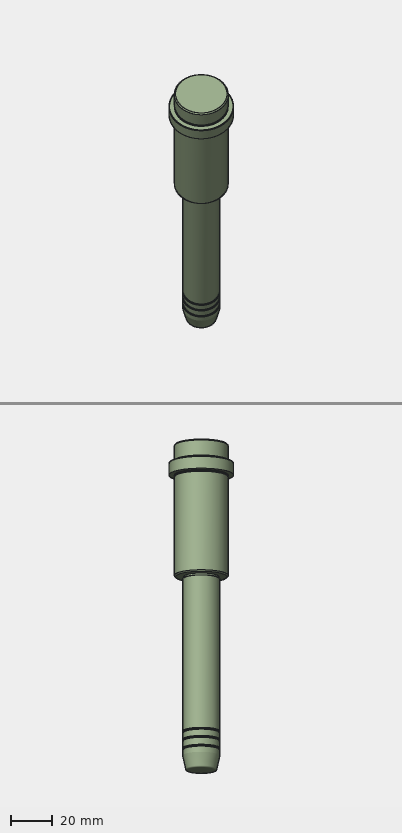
import cadquery as cq

total_length = 160.0
body_diameter = 26.0
body_bottom = 95.0
body_chamfer = 0.6
collar_diameter = 31.0
collar_bottom = 145.0
collar_top = 151.0
collar_chamfer = 0.3
relief_width = 1.0
relief_depth = 0.3
shank_diameter = 18.0
neck_diameter = 17.0
neck_length = 1.0
taper_height = 7.0
taper_end_diameter = 14.7
tip_fillet = 0.8
groove_centers = (10.4, 14.7, 18.7)
groove_width = 1.0
groove_depth = 0.3


def cylinder(diameter, bottom, top):
    """Solid cylinder on the Z axis between two heights."""
    return cq.Workplane("XY").workplane(offset=bottom).circle(diameter / 2).extrude(top - bottom)


def ring_cut(diameter, depth, bottom, top):
    """Ring that cuts a flat-bottomed, slope-sided groove of the given depth into a cylinder."""
    radius = diameter / 2
    floor_radius = radius - depth
    return (
        cq.Workplane("XZ")
        .moveTo(radius, bottom)
        .lineTo(floor_radius, bottom + depth)
        .lineTo(floor_radius, top - depth)
        .lineTo(radius, top)
        .close()
        .revolve(360, (0, 0, 0), (0, 1, 0))
    )


def make_shank():
    """Grooved shank with a tapered, rounded tip and a neck under the body."""
    neck_bottom = body_bottom - neck_length
    tip = (
        cq.Workplane("XY")
        .circle(taper_end_diameter / 2)
        .workplane(offset=taper_height)
        .circle(shank_diameter / 2)
        .loft(ruled=True)
        .faces("<Z")
        .edges()
        .fillet(tip_fillet)
    )
    shank = tip.union(cylinder(shank_diameter, taper_height, neck_bottom))
    shank = shank.union(cylinder(neck_diameter, neck_bottom, body_bottom))
    for center in groove_centers:
        bottom = center - groove_width / 2
        shank = shank.cut(ring_cut(shank_diameter, groove_depth, bottom, bottom + groove_width))
    return shank


def make_body():
    """Chamfered body with a shallow relief groove on each side of the collar."""
    body = cylinder(body_diameter, body_bottom, total_length).faces("<Z or >Z").chamfer(body_chamfer)
    for bottom in (collar_bottom - relief_width, collar_top):
        body = body.cut(ring_cut(body_diameter, relief_depth, bottom, bottom + relief_width))
    return body


collar = cylinder(collar_diameter, collar_bottom, collar_top).faces(">Z").chamfer(collar_chamfer)

result = make_shank().union(make_body()).union(collar)